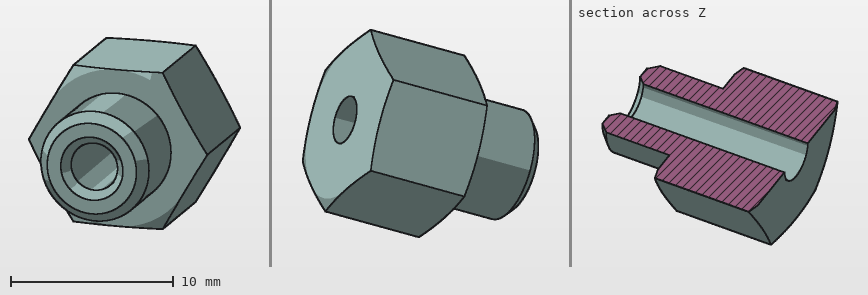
import cadquery as cq
import math

across_flats = 10.0
total_length = 12.0
hex_length = 7.0
hex_chamfer_angle = 15.0
stud_diameter = 7.0
tip_chamfer = 0.61
bore_diameter = 3.0
countersink_diameter = 4.02

across_corners = across_flats / math.cos(math.radians(30))
stud_length = total_length - hex_length
countersink_depth = (countersink_diameter - bore_diameter) / 2


def revolve_about_y(points):
    """Revolve a closed (radius, Y) outline around the Y axis."""
    return cq.Workplane("XY").polyline(points).close().revolve(360, (0, 0, 0), (0, 1, 0))


def make_hex_head():
    """Hexagon with corners on X, its corners turned off conically at both ends."""
    prism = (
        cq.Workplane("XZ", origin=(0, total_length, 0))
        .polygon(6, across_corners)
        .extrude(hex_length)
    )
    flat_radius = across_flats / 2
    corner_radius = across_corners / 2
    corner_drop = (corner_radius - flat_radius) * math.tan(math.radians(hex_chamfer_angle))
    envelope = revolve_about_y([
        (0, stud_length),
        (flat_radius, stud_length),
        (corner_radius, stud_length + corner_drop),
        (corner_radius, total_length - corner_drop),
        (flat_radius, total_length),
        (0, total_length),
    ])
    return prism.intersect(envelope)


def make_stud():
    """Round stud with a chamfered tip."""
    stud_radius = stud_diameter / 2
    return revolve_about_y([
        (0, 0),
        (stud_radius - tip_chamfer, 0),
        (stud_radius, tip_chamfer),
        (stud_radius, stud_length),
        (0, stud_length),
    ])


def make_bore():
    """Through bore with a 45 degree countersink at the stud tip."""
    bore_radius = bore_diameter / 2
    return revolve_about_y([
        (0, 0),
        (countersink_diameter / 2, 0),
        (bore_radius, countersink_depth),
        (bore_radius, total_length),
        (0, total_length),
    ])


result = make_hex_head().union(make_stud()).cut(make_bore())